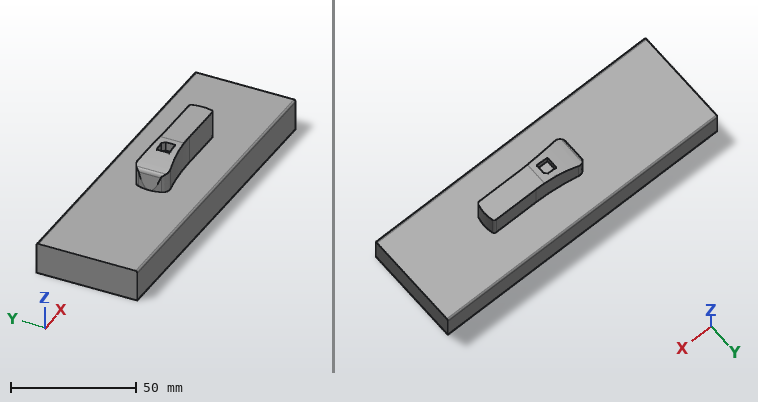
import cadquery as cq

base_length = 140.0
base_width = 45.0
base_height = 14.0
base_edge_radius = 0.8

handle_height = 12.0
shank_half_width = 5.25
shank_start_x = 10.0
shank_corner_x = 31.5
shank_end_x = 32.3
shank_corner_radius = 1.2
head_half_width = 7.8
head_corner_x = -13.0
head_tip_x = -15.2
head_corner_radius = 3.3
flare_length = shank_start_x - head_corner_x
flare_rise = head_half_width - shank_half_width
flare_radius = (flare_length**2 + flare_rise**2) / (2 * flare_rise)

crown_start_x = 5.5
crown_radius = 50.0

nose_top_x = -14.2
nose_edge_radius = 2.0

hole_side = 5.6
hole_depth = 4.0
hole_corner_chamfer = 1.25


def arc_drop(run, radius):
    """Distance an arc falls away from its starting tangent after a given run."""
    return radius - (radius**2 - run**2) ** 0.5


def make_base():
    block = cq.Workplane("XY").box(base_length, base_width, base_height, centered=(True, True, False))
    return block.faces(">Z").edges("|X").fillet(base_edge_radius)


def make_handle_blank():
    half_flare = flare_length / 2
    flare_mid_x = shank_start_x - half_flare
    flare_mid_y = shank_half_width + arc_drop(half_flare, flare_radius)
    blank = (
        cq.Workplane("XY", origin=(0, 0, base_height))
        .moveTo(shank_start_x, shank_half_width)
        .lineTo(shank_corner_x, shank_half_width)
        .threePointArc((shank_end_x, 0), (shank_corner_x, -shank_half_width))
        .lineTo(shank_start_x, -shank_half_width)
        .threePointArc((flare_mid_x, -flare_mid_y), (head_corner_x, -head_half_width))
        .threePointArc((head_tip_x, 0), (head_corner_x, head_half_width))
        .threePointArc((flare_mid_x, flare_mid_y), (shank_start_x, shank_half_width))
        .close()
        .extrude(handle_height)
    )
    head_corners = cq.selectors.BoxSelector(
        (head_tip_x, -base_width, base_height),
        (0, base_width, base_height + handle_height),
    )
    blank = blank.edges("|Z").edges(head_corners).fillet(head_corner_radius)
    return blank.edges("|Z").edges(">X").fillet(shank_corner_radius)


def make_side_profile():
    top = base_height + handle_height
    profile_end_x = base_length / 2
    run = crown_start_x - nose_top_x
    crown_mid = (crown_start_x - run / 2, top - arc_drop(run / 2, crown_radius))
    nose_top_z = top - arc_drop(run, crown_radius)
    profile = (
        cq.Workplane("XZ")
        .moveTo(head_tip_x, base_height)
        .lineTo(profile_end_x, base_height)
        .lineTo(profile_end_x, top)
        .lineTo(crown_start_x, top)
        .threePointArc(crown_mid, (nose_top_x, nose_top_z))
        .close()
        .extrude(base_width / 2, both=True)
    )
    nose_edge = cq.selectors.NearestToPointSelector((nose_top_x, 0, nose_top_z))
    return profile.edges("|Y").edges(nose_edge).fillet(nose_edge_radius)


def make_hole():
    return (
        cq.Workplane("XY", origin=(0, 0, base_height + handle_height - hole_depth))
        .rect(hole_side, hole_side)
        .extrude(hole_depth)
        .edges("|Z")
        .edges(">X and >Y")
        .chamfer(hole_corner_chamfer)
    )


def make_handle():
    return make_handle_blank().intersect(make_side_profile()).cut(make_hole())


base = make_base()
handle = make_handle()
result = cq.Compound.makeCompound([base.val(), handle.solids().val()])